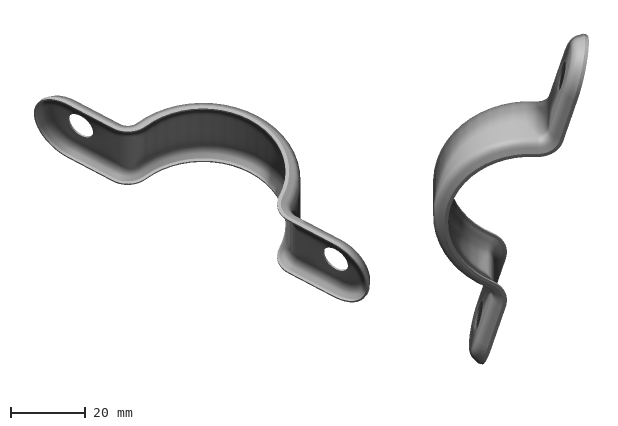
import cadquery as cq
import math


length = 108.0
width = 22.0
depth = 4.0
thickness = 0.5
edge_radius = 3.0
lip_height = 1.0
flare_angle = math.radians(30)

arch_radius = 26.0
arch_center_y = 1.1
bend_radius = 3.0

hole_diameter = 8.0
hole_spacing = 82.5

half_width = width / 2
end_center_x = length / 2 - half_width

bend_center_y = depth + bend_radius
bend_rise = bend_center_y - arch_center_y
center_distance = arch_radius + bend_radius
bend_center_x = math.sqrt(center_distance**2 - bend_rise**2)
arch_half_angle = math.degrees(math.acos(bend_rise / center_distance))

lip_top = depth - lip_height
flare_top = edge_radius * (1 - math.sin(flare_angle))
flare_width = (lip_top - flare_top) * math.tan(flare_angle)
round_center = half_width - flare_width - edge_radius * math.cos(flare_angle)
inner_lip_top = lip_top + thickness * math.tan(flare_angle / 2)


def round_point(radius, angle):
    """Point (across, down) on a rounding, at an angle up from the side."""
    across = round_center + radius * math.cos(angle)
    down = edge_radius - radius * math.sin(angle)
    return across, down


def half_section(x, outer_y):
    """Section of the +Z half of the strap at x, with its outer surface at outer_y."""
    def place(across_and_down):
        across, down = across_and_down
        return outer_y - down, across

    inner_radius = edge_radius - thickness
    middle_angle = (flare_angle + math.pi / 2) / 2
    return (
        cq.Workplane("YZ", origin=(x, 0, 0))
        .moveTo(*place((0, 0)))
        .lineTo(*place((round_center, 0)))
        .threePointArc(
            place(round_point(edge_radius, middle_angle)),
            place(round_point(edge_radius, flare_angle)),
        )
        .lineTo(*place((half_width, lip_top)))
        .lineTo(*place((half_width, depth)))
        .lineTo(*place((half_width - thickness, depth)))
        .lineTo(*place((half_width - thickness, inner_lip_top)))
        .lineTo(*place(round_point(inner_radius, flare_angle)))
        .threePointArc(
            place(round_point(inner_radius, middle_angle)),
            place((round_center, thickness)),
        )
        .lineTo(*place((0, thickness)))
        .close()
    )


def half_arch():
    section = half_section(0, arch_center_y + arch_radius)
    return section.revolve(arch_half_angle, (arch_center_y, 1.1), (arch_center_y, 0))


def bend():
    section = half_section(bend_center_x, depth)
    return section.revolve(arch_half_angle, (bend_center_y, 1.1), (bend_center_y, 0))


def foot():
    straight = half_section(bend_center_x, depth).extrude(end_center_x - bend_center_x)
    rounded_end = half_section(end_center_x, depth).revolve(90, (0, 0), (1, 0))
    return straight.union(rounded_end)


quarter = half_arch().union(bend()).union(foot())
half = quarter.union(quarter.mirror("XY"))
strap = half.union(half.mirror("YZ"))

holes = (
    cq.Workplane("XZ")
    .pushPoints([(-hole_spacing / 2, 0), (hole_spacing / 2, 0)])
    .circle(hole_diameter / 2)
    .extrude(-depth)
)

result = strap.cut(holes)